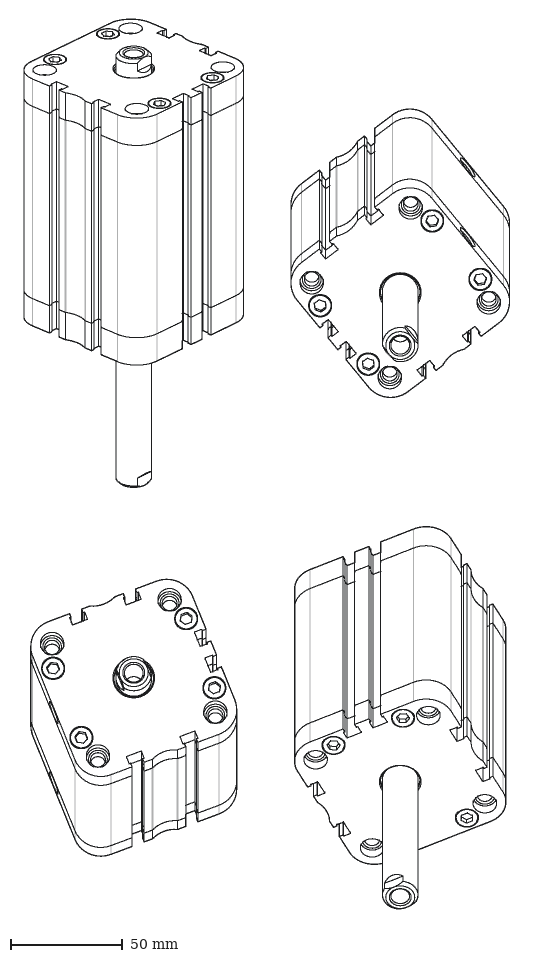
import cadquery as cq
import math

width = 77.0
half_width = width / 2
corner_radius = 12.5
housing_height = 124.0
cover_height = 13.75
barrel_height = housing_height - 2 * cover_height

slot_neck = 5.8
slot_inner = 7.2
slot_lip = 1.8
slot_depth = 5.4
wide_slot_offset = 12.9
close_slot_offset = 6.5

channel_half_width = 6.0
channel_depth = 1.4
channel_radius = (channel_half_width**2 + channel_depth**2) / (2 * channel_depth)
barrel_channel_edge_radius = 1.2

mount_offset = 56.5 / 2
mount_counterbore = 10.5
mount_counterbore_depth = 5.0
mount_countersink = 8.38
mount_thread = 6.65
mount_thread_depth = 12.0

screw_x = 32.0
screw_y = 17.4
screw_recess = 10.3
screw_head = 9.8
screw_gap_depth = 1.0
socket_flats = 5.0
socket_depth = 2.5
right_socket_turn = 30.0

port_diameter = 8.57
port_rim = 10.5
port_depth = 12.0
port_from_end = 7.2

rod_diameter = 16.0
rod_radius = rod_diameter / 2
rod_length = 215.0
rod_projection = 8.0
rod_top = housing_height + rod_projection
rod_bottom = rod_top - rod_length
rod_chamfer = 1.5
rod_flats = 13.0
rod_flat_length = 5.3
rod_thread = 8.38
rod_thread_rim = 9.8
rod_thread_depth = 20.0
drill_point_angle = 118.0

wiper_diameter = 17.7
wiper_rim = 18.7
wiper_depth = 2.0


def t_slot(height):
    """T-slot cutter entering the -Y face at X = 0."""
    neck = cq.Workplane("XY").box(slot_neck, slot_depth, height, centered=(True, False, False))
    inner = cq.Workplane("XY").box(slot_inner, slot_depth - slot_lip, height, centered=(True, False, False))
    return neck.union(inner.translate((0, slot_lip, 0))).translate((0, -half_width, 0))


def profile(height):
    """Housing cross-section extruded from Z = 0."""
    block = cq.Workplane("XY").rect(width, width).extrude(height).edges("|Z").fillet(corner_radius)
    channel_centre = half_width - channel_depth + channel_radius
    for face_angle, offset in ((0, wide_slot_offset), (180, wide_slot_offset), (90, close_slot_offset)):
        for side in (-1, 1):
            slot = t_slot(height).translate((side * offset, 0, 0))
            block = block.cut(slot.rotate((0, 0, 0), (0, 0, 1), face_angle))
    for side in (-1, 1):
        channel = cq.Workplane("XY").center(0, side * channel_centre).circle(channel_radius).extrude(height)
        block = block.cut(channel)
    return block


def corner_points(x, y):
    return [(sx * x, sy * y) for sx in (-1, 1) for sy in (-1, 1)]


def cylinder(diameter, bottom, top):
    return cq.Workplane("XY").workplane(offset=bottom).circle(diameter / 2).extrude(top - bottom)


def cone_cutter(bottom_diameter, top_diameter, top_z, x=0, y=0):
    """45 degree vertical cone between two diameters, its upper end at top_z."""
    height = abs(top_diameter - bottom_diameter) / 2
    base = cq.Vector(x, y, top_z - height)
    return cq.Workplane(cq.Solid.makeCone(bottom_diameter / 2, top_diameter / 2, height, base))


def cut_mounting_holes(cover):
    points = corner_points(mount_offset, mount_offset)
    face = cq.Workplane("XY").workplane(offset=cover_height).pushPoints(points)
    cover = cover.cut(face.circle(mount_counterbore / 2).extrude(-mount_counterbore_depth))
    cover = cover.cut(face.circle(mount_thread / 2).extrude(-mount_thread_depth))
    counterbore_floor = cover_height - mount_counterbore_depth
    for x, y in points:
        cover = cover.cut(cone_cutter(mount_thread, mount_countersink, counterbore_floor, x, y))
    return cover


def cut_screw_outlines(cover):
    """Ring gap around each flush screw head, and its hexagon socket."""
    points = corner_points(screw_x, screw_y)
    face = cq.Workplane("XY").workplane(offset=cover_height).pushPoints(points)
    cover = cover.cut(face.circle(screw_recess / 2).circle(screw_head / 2).extrude(-screw_gap_depth))
    socket = cq.Workplane("XY").polygon(6, socket_flats, circumscribed=True).extrude(-socket_depth)
    for x, y in points:
        turn = right_socket_turn if x > 0 else 0
        cover = cover.cut(socket.rotate((0, 0, 0), (0, 0, 1), turn).translate((x, y, cover_height)))
    return cover


def cut_port(cover):
    """Countersunk blind air port on the -X face."""
    port_z = cover_height - port_from_end
    port = cq.Workplane("YZ").workplane(offset=-half_width).center(0, port_z)
    cover = cover.cut(port.circle(port_diameter / 2).extrude(port_depth))
    rim_depth = (port_rim - port_diameter) / 2
    mouth = cq.Vector(-half_width, 0, port_z)
    rim = cq.Solid.makeCone(port_rim / 2, port_diameter / 2, rim_depth, mouth, cq.Vector(1, 0, 0))
    return cover.cut(cq.Workplane(rim))


def cut_rod_passage(cover):
    """Rod bore with a wider, countersunk mouth at the outer face."""
    cover = cover.cut(cylinder(rod_diameter, 0, cover_height))
    cover = cover.cut(cylinder(wiper_diameter, cover_height - wiper_depth, cover_height))
    return cover.cut(cone_cutter(wiper_diameter, wiper_rim, cover_height))


def make_cover():
    """Cover with its outer face upward, at Z = cover_height."""
    cover = cut_mounting_holes(profile(cover_height))
    cover = cut_screw_outlines(cover)
    cover = cut_port(cover)
    return cut_rod_passage(cover)


def make_barrel():
    """Barrel section with the edges of its round channels softened."""
    barrel = profile(barrel_height)
    reach = 0.1
    for face_y in (-half_width, half_width):
        near_edges = cq.selectors.BoxSelector(
            (-channel_half_width - reach, face_y - reach, 0),
            (channel_half_width + reach, face_y + reach, barrel_height),
        )
        barrel = barrel.edges("|Z").edges(near_edges).fillet(barrel_channel_edge_radius)
    return barrel.cut(cylinder(rod_diameter, 0, barrel_height))


def rod_end_cut():
    """Flats and threaded hole of one rod end, for an end face at Z = 0."""
    flat_x = rod_flats / 2
    runout = rod_radius - flat_x
    tip_length = rod_thread / 2 / math.tan(math.radians(drill_point_angle / 2))
    rim_depth = (rod_thread_rim - rod_thread) / 2
    hole = (
        cq.Workplane("XZ")
        .polyline([
            (0, 0),
            (rod_thread_rim / 2, 0),
            (rod_thread / 2, -rim_depth),
            (rod_thread / 2, -rod_thread_depth),
            (0, -rod_thread_depth - tip_length),
        ])
        .close()
        .revolve(360, (0, 0, 0), (0, 1, 0))
    )
    flat = (
        cq.Workplane("XZ")
        .polyline([
            (flat_x, 0),
            (rod_radius, 0),
            (rod_radius, -rod_flat_length - runout),
            (flat_x, -rod_flat_length),
        ])
        .close()
        .extrude(rod_radius, both=True)
    )
    return hole.union(flat).union(flat.mirror("YZ"))


def make_rod():
    rod = cylinder(rod_diameter, rod_bottom, rod_top).faces("<Z or >Z").chamfer(rod_chamfer)
    rod = rod.cut(rod_end_cut().translate((0, 0, rod_top)))
    return rod.cut(rod_end_cut().mirror("XY").translate((0, 0, rod_bottom)))


cover = make_cover()
upper_cover = cover.translate((0, 0, housing_height - cover_height))
lower_cover = cover.mirror("XY").translate((0, 0, cover_height))
barrel = make_barrel().translate((0, 0, cover_height))
rod = make_rod()

result = cq.Compound.makeCompound([lower_cover.val(), barrel.val(), upper_cover.val(), rod.val()])